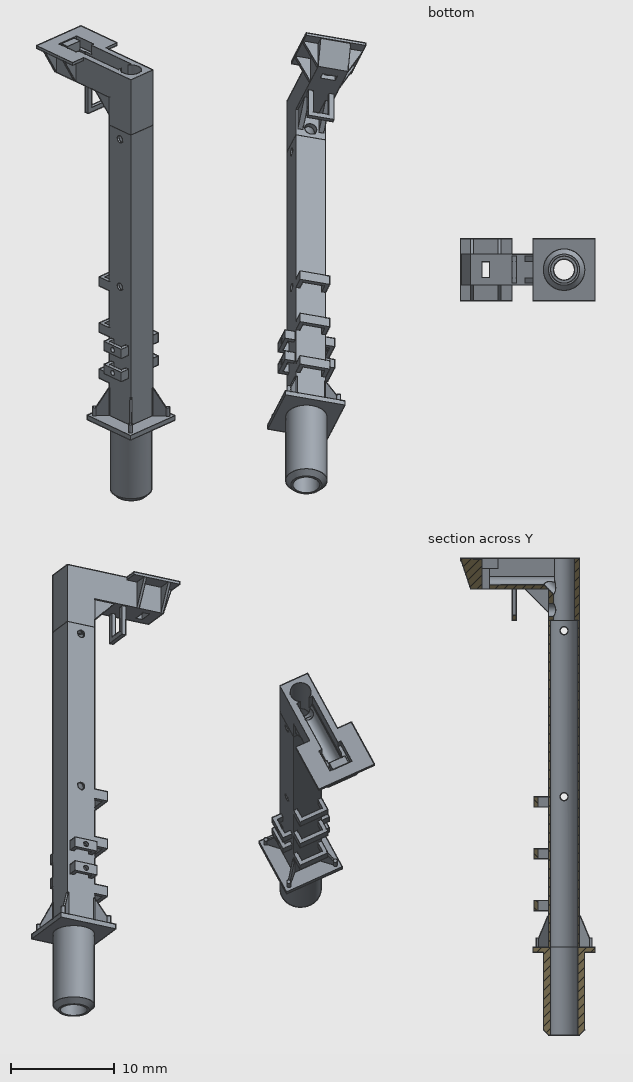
import cadquery as cq
import math

POST = 3.0
HEAD_BORE_D = 2.0
MAST_BORE_D = 2.6
HALF_POST = POST / 2

SPIGOT_D = 4.0
SPIGOT_LENGTH = 8.0
SPIGOT_CHAMFER = 0.5
PLATE_SIZE = 6.0
PLATE_THICKNESS = 0.5

ARM_BOTTOM = 35.0
ARM_TOP = ARM_BOTTOM + POST
ELBOW_BOTTOM = ARM_BOTTOM - POST

BASE_GUSSET_HEIGHT = 3.0
BASE_GUSSET_REACH = 1.25
BASE_GUSSET_THICKNESS = 0.2
BOLT_D = 0.4
BOLT_HEIGHT = 0.9
BOLT_OFFSET = 2.5

CROSS_HOLE_D = 0.75
CROSS_HOLE_LEVELS = (15.0, 31.0)

BRACKET_HEIGHT = 1.0
BRACKET_WALL = 0.4
FRONT_BRACKET_REACH = 1.4
FRONT_BRACKET_WIDTH = POST
FRONT_BRACKET_LEVELS = (4.0, 9.0, 14.0)
SIDE_BRACKET_REACH = 1.0
SIDE_BRACKET_WIDTH = 2.4
SIDE_BRACKET_LEVELS = (5.5, 8.0)
SIDE_BRACKET_HOLE_D = 0.5

ELBOW_GUSSET_LEG = 2.25
ELBOW_GUSSET_SPAN = 2.6
ELBOW_GUSSET_THICKNESS = 0.5
CABLE_HOLE_D = 1.2
CABLE_HOLE_LEVEL = ARM_BOTTOM - 2.0
RELIEF_X = -1.1

HEAD_TIP_X = -10.0
HEAD_BOTTOM_X = -9.0
HEAD_LENGTH = 5.0
HEAD_WIDTH = 6.0
HEAD_PLATE_THICKNESS = 0.3
FIN_THICKNESS = 0.27
FIN_X = (-9.0, -6.37)
POCKET_START_X = HEAD_BOTTOM_X + FIN_THICKNESS
POCKET_END_X = FIN_X[1]
POCKET_WIDTH = 2.36
POCKET_DEPTH = 1.0
LEDGE_DEPTH = 0.1
LEDGE_END_X = -7.9
OPENING_END_X = -7.2
SLOT_WIDTH = 1.7
CHANNEL_FLOOR_D = 1.5
CHANNEL_AXIS_LEVEL = ARM_BOTTOM + 1.2
CHANNEL_END_X = -0.9

LOOP_X = -5.0
LOOP_THICKNESS = 0.4
LOOP_WIDTH = 2.6
LOOP_HEIGHT = 3.0
LOOP_BAR = 0.5


def block(x_min, x_max, width, z_min, z_max):
    """Box from x_min to x_max and z_min to z_max, centred on Y = 0."""
    return (
        cq.Workplane("XY")
        .box(x_max - x_min, width, z_max - z_min, centered=(False, True, False))
        .translate((x_min, 0, z_min))
    )


def cylinder(diameter, z_min, z_max):
    """Vertical cylinder on the mast axis."""
    return cq.Workplane("XY").workplane(offset=z_min).circle(diameter / 2).extrude(z_max - z_min)


def profile_xz(points, width):
    """Outline in the XZ plane, extruded symmetrically about Y = 0."""
    return cq.Workplane("XZ").polyline(points).close().extrude(width / 2, both=True)


def base_gusset_and_bolt(angle):
    """Diagonal gusset at one post corner, with the bolt at its outer end."""
    corner = HALF_POST * math.sqrt(2)
    foot = corner + BASE_GUSSET_REACH * math.sqrt(2)
    bolt_x = BOLT_OFFSET * math.sqrt(2)
    end_height = BASE_GUSSET_HEIGHT * (foot - bolt_x) / (foot - corner)
    gusset = profile_xz(
        [
            (0, PLATE_THICKNESS),
            (bolt_x, PLATE_THICKNESS),
            (bolt_x, PLATE_THICKNESS + end_height),
            (corner, PLATE_THICKNESS + BASE_GUSSET_HEIGHT),
            (0, PLATE_THICKNESS + BASE_GUSSET_HEIGHT),
        ],
        BASE_GUSSET_THICKNESS,
    )
    bolt = cylinder(BOLT_D, PLATE_THICKNESS, PLATE_THICKNESS + BOLT_HEIGHT).translate(
        (bolt_x, 0, 0)
    )
    return gusset.union(bolt).rotate((0, 0, 0), (0, 0, 1), angle)


def make_foot():
    spigot = cylinder(SPIGOT_D, -SPIGOT_LENGTH, 0).faces("<Z").chamfer(SPIGOT_CHAMFER)
    plate = block(-PLATE_SIZE / 2, PLATE_SIZE / 2, PLATE_SIZE, 0, PLATE_THICKNESS)
    foot = spigot.union(plate)
    for angle in (45, 135, 225, 315):
        foot = foot.union(base_gusset_and_bolt(angle))
    foot = foot.cut(post_block())
    return foot.cut(cylinder(MAST_BORE_D, -SPIGOT_LENGTH, PLATE_THICKNESS))


def post_block():
    """Square post standing on the base plate, without its bore."""
    return block(-HALF_POST, HALF_POST, POST, PLATE_THICKNESS, ELBOW_BOTTOM)


def bracket(reach, width, level):
    """Open U bracket standing out from the -X face of the post."""
    outer = block(-HALF_POST - reach, -HALF_POST, width, level, level + BRACKET_HEIGHT)
    inner = block(
        -HALF_POST - reach + BRACKET_WALL,
        -HALF_POST,
        width - 2 * BRACKET_WALL,
        level,
        level + BRACKET_HEIGHT,
    )
    return outer.cut(inner)


def side_bracket(level, angle):
    """Bracket with a small hole in its outer wall, turned onto a side face of the post."""
    hole = (
        cq.Workplane("YZ")
        .center(0, level + BRACKET_HEIGHT / 2)
        .circle(SIDE_BRACKET_HOLE_D / 2)
        .extrude(-HALF_POST - SIDE_BRACKET_REACH)
    )
    body = bracket(SIDE_BRACKET_REACH, SIDE_BRACKET_WIDTH, level).cut(hole)
    return body.rotate((0, 0, 0), (0, 0, 1), angle)


def make_mast():
    mast = post_block()
    for level in FRONT_BRACKET_LEVELS:
        mast = mast.union(bracket(FRONT_BRACKET_REACH, FRONT_BRACKET_WIDTH, level))
    for level in SIDE_BRACKET_LEVELS:
        for angle in (90, -90):
            mast = mast.union(side_bracket(level, angle))
    for level in CROSS_HOLE_LEVELS:
        hole = cq.Workplane("XZ").center(0, level).circle(CROSS_HOLE_D / 2).extrude(POST, both=True)
        mast = mast.cut(hole)
    return mast.cut(cylinder(MAST_BORE_D, PLATE_THICKNESS, ELBOW_BOTTOM))


def elbow_gussets():
    """Pair of triangular plates between the elbow face and the underside of the arm."""
    outline = [
        (-HALF_POST, ARM_BOTTOM),
        (-HALF_POST - ELBOW_GUSSET_LEG, ARM_BOTTOM),
        (-HALF_POST, ARM_BOTTOM - ELBOW_GUSSET_LEG),
    ]
    gap = ELBOW_GUSSET_SPAN - 2 * ELBOW_GUSSET_THICKNESS
    return profile_xz(outline, ELBOW_GUSSET_SPAN).cut(profile_xz(outline, gap))


def elbow_block():
    """Block on top of the mast, carrying the gusset plates under the arm."""
    return block(-HALF_POST, HALF_POST, POST, ELBOW_BOTTOM, ARM_BOTTOM).union(elbow_gussets())


def cable_hole():
    """Horizontal hole through the -X wall of the elbow block, into the bore."""
    return (
        cq.Workplane("YZ")
        .center(0, CABLE_HOLE_LEVEL)
        .circle(CABLE_HOLE_D / 2)
        .extrude(-HALF_POST)
    )


def head_fin(x_min):
    """Triangular fins on both sides of the arm, carrying the head plate."""
    outline = [
        (-HEAD_WIDTH / 2, ARM_TOP),
        (-HEAD_WIDTH / 2, ARM_TOP - HEAD_PLATE_THICKNESS),
        (-HALF_POST, ARM_BOTTOM),
        (HALF_POST, ARM_BOTTOM),
        (HEAD_WIDTH / 2, ARM_TOP - HEAD_PLATE_THICKNESS),
        (HEAD_WIDTH / 2, ARM_TOP),
    ]
    return cq.Workplane("YZ").workplane(offset=x_min).polyline(outline).close().extrude(FIN_THICKNESS)


def cable_channel():
    """Slot open at the top with a half-round floor, running from the lamp opening to the bore."""
    length = CHANNEL_END_X - OPENING_END_X
    floor = (
        cq.Workplane("YZ")
        .workplane(offset=OPENING_END_X)
        .center(0, CHANNEL_AXIS_LEVEL)
        .circle(CHANNEL_FLOOR_D / 2)
        .extrude(length)
    )
    return floor.union(block(OPENING_END_X, CHANNEL_END_X, SLOT_WIDTH, CHANNEL_AXIS_LEVEL, ARM_TOP))


def lamp_pocket():
    """Pocket around a central ledge, with an opening down through the arm."""
    pocket = block(POCKET_START_X, POCKET_END_X, POCKET_WIDTH, ARM_TOP - POCKET_DEPTH, ARM_TOP)
    ledge = block(
        POCKET_START_X, LEDGE_END_X, SLOT_WIDTH, ARM_TOP - POCKET_DEPTH, ARM_TOP - LEDGE_DEPTH
    )
    opening = block(LEDGE_END_X, OPENING_END_X, CHANNEL_FLOOR_D, ARM_BOTTOM, ARM_TOP)
    return pocket.cut(ledge).union(opening)


def cable_loop():
    """Rectangular wire guide hanging from the arm."""
    loop_bottom = ARM_BOTTOM - LOOP_HEIGHT
    frame = block(LOOP_X, LOOP_X + LOOP_THICKNESS, LOOP_WIDTH, loop_bottom, ARM_BOTTOM)
    window = block(
        LOOP_X, LOOP_X + LOOP_THICKNESS, LOOP_WIDTH - 2 * LOOP_BAR, loop_bottom + LOOP_BAR, ARM_BOTTOM
    )
    return frame.cut(window)


def relief_hole():
    """Hole sloping down at 45 degrees from the channel floor into the bore."""
    floor_point = cq.Vector(RELIEF_X, 0, CHANNEL_AXIS_LEVEL - CHANNEL_FLOOR_D / 2)
    down = cq.Vector(1, 0, -1)
    upper_end = floor_point - down * CHANNEL_FLOOR_D
    length = (CHANNEL_FLOOR_D - RELIEF_X) * math.sqrt(2)
    return cq.Workplane(cq.Solid.makeCylinder(CABLE_HOLE_D / 2, length, upper_end, down))


def arm_with_lamp():
    """Arm with a slanted tip, under a lamp plate that is carried by two pairs of fins."""
    arm = profile_xz(
        [
            (HALF_POST, ARM_BOTTOM),
            (HALF_POST, ARM_TOP),
            (HEAD_TIP_X, ARM_TOP),
            (HEAD_BOTTOM_X, ARM_BOTTOM),
        ],
        POST,
    )
    plate = block(
        HEAD_TIP_X, HEAD_TIP_X + HEAD_LENGTH, HEAD_WIDTH, ARM_TOP - HEAD_PLATE_THICKNESS, ARM_TOP
    )
    arm = arm.union(plate)
    for x_min in FIN_X:
        arm = arm.union(head_fin(x_min))
    return arm


def make_head():
    head = arm_with_lamp().union(elbow_block()).union(cable_loop())
    head = head.cut(lamp_pocket()).cut(cable_channel()).cut(relief_hole()).cut(cable_hole())
    return head.cut(cylinder(HEAD_BORE_D, ELBOW_BOTTOM, ARM_TOP))


foot = make_foot()
mast = make_mast()
head = make_head()

result = cq.Compound.makeCompound([foot.val(), mast.val(), head.val()])